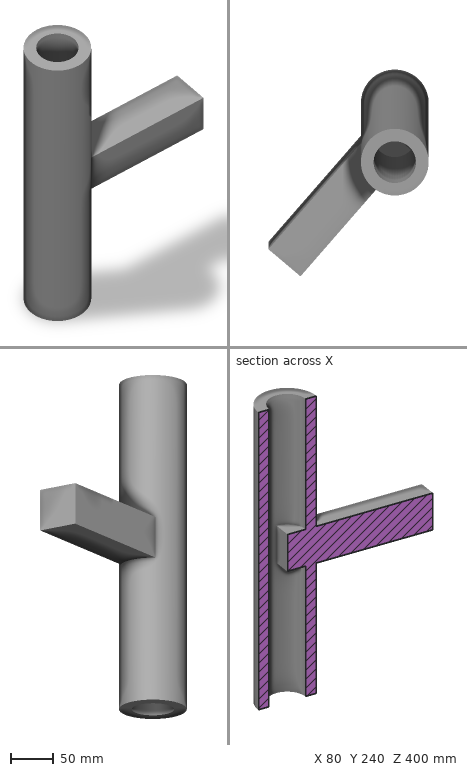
import cadquery as cq

tube_length = 400.0
tube_diameter = 80.0
bore_diameter = 50.0

bar_side = bore_diameter
bar_length = 200.0


def make_tube():
    return (
        cq.Workplane("XY")
        .circle(tube_diameter / 2)
        .circle(bore_diameter / 2)
        .extrude(tube_length / 2, both=True)
    )


def make_bar():
    return cq.Workplane("XY").box(bar_side, bar_length, bar_side, centered=(True, False, True))


result = make_tube().union(make_bar())